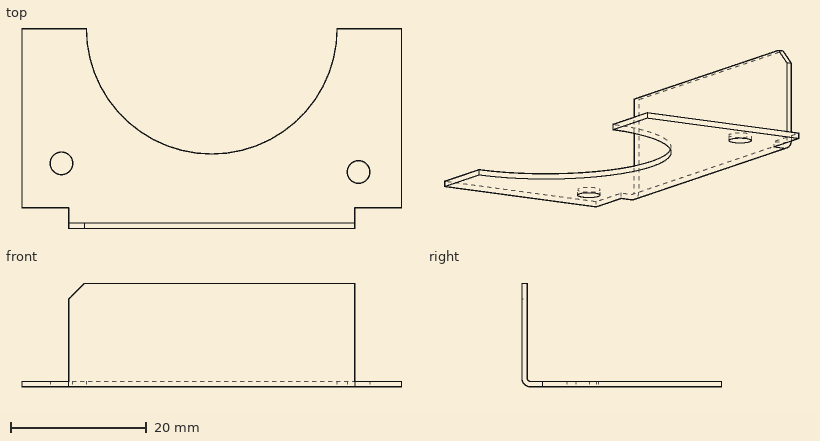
import cadquery as cq

sheet_thickness = 0.81
inner_bend_radius = 0.51
outer_bend_radius = inner_bend_radius + sheet_thickness

plate_width = 55.88
overall_depth = 29.41
plate_front = 3.05
plate_depth = overall_depth - plate_front

flange_width = 42.07
flange_height = 15.24
corner_chamfer = 2.29

cutout_radius = 18.42

hole_diameter = 3.3
left_hole_inset = 5.84
left_hole_setback = 6.55
right_hole_inset = 6.35
right_hole_setback = 5.28


def make_plate():
    """Flat base plate behind the flange."""
    return cq.Workplane("XY").box(
        plate_width, plate_depth, sheet_thickness, centered=(True, False, False)
    ).translate((0, plate_front, 0))


def make_flange():
    """Bent strip: short base tongue, rounded bend and upright wall with one clipped corner."""
    strip = (
        cq.Workplane("YZ")
        .moveTo(plate_front, 0)
        .lineTo(outer_bend_radius, 0)
        .radiusArc((0, outer_bend_radius), outer_bend_radius)
        .lineTo(0, flange_height)
        .lineTo(sheet_thickness, flange_height)
        .lineTo(sheet_thickness, outer_bend_radius)
        .radiusArc((outer_bend_radius, sheet_thickness), -inner_bend_radius)
        .lineTo(plate_front, sheet_thickness)
        .close()
        .extrude(flange_width / 2, both=True)
    )
    return strip.edges("<X and >Z").chamfer(corner_chamfer)


def cut_round(part, x, y, radius):
    """Cut a round opening through the base plate."""
    cutter = cq.Workplane("XY").center(x, y).circle(radius).extrude(sheet_thickness)
    return part.cut(cutter)


result = make_plate().union(make_flange())
result = cut_round(result, 0, overall_depth, cutout_radius)

hole_places = [
    (left_hole_inset - plate_width / 2, plate_front + left_hole_setback),
    (plate_width / 2 - right_hole_inset, plate_front + right_hole_setback),
]
for hole_x, hole_y in hole_places:
    result = cut_round(result, hole_x, hole_y, hole_diameter / 2)